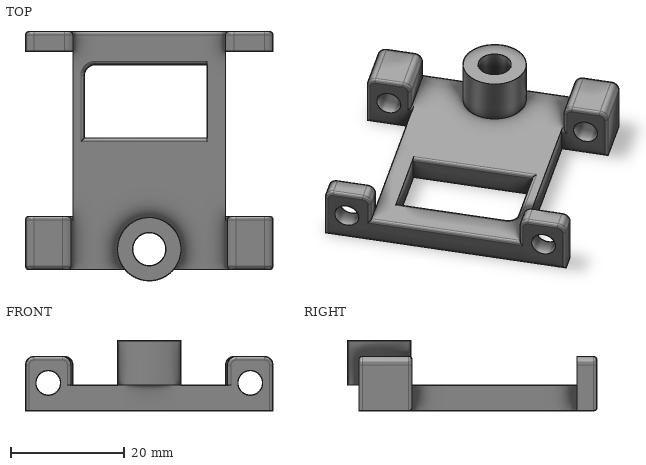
import cadquery as cq

overall_width = 43.6
overall_length = 43.95
overall_height = 12.4

plate_width = 26.9
plate_thickness = 4.53
plate_front = 2.0

ear_height = 9.6
ear_corner_radius = 1.5
edge_radius = 0.6
front_ear_width = 8.0
front_ear_depth = 9.4
rear_ear_width = (overall_width - plate_width) / 2
rear_ear_depth = 3.5
ear_hole_diameter = 4.3
ear_hole_inset = 4.0
ear_hole_height = 4.92

boss_diameter = 11.15
boss_hole_diameter = 5.8

window_left = -12.05
window_right = 10.2
window_rear = overall_length - 5.28
window_front = overall_length - 19.4
window_corner_radius = 1.85

tolerance = 0.005


def box(x_min, x_max, y_min, y_max, z_min, z_max):
    """Block between the given limits."""
    size = (x_max - x_min, y_max - y_min, z_max - z_min)
    return cq.Workplane("XY").box(*size, centered=False).translate((x_min, y_min, z_min))


def eared_bar(ear_width, y_min, depth):
    """Full-width bar with a rounded, raised ear at each end."""
    half_width = overall_width / 2
    bar = box(-half_width, half_width, y_min, y_min + depth, 0, plate_thickness)
    for x_min in (-half_width, half_width - ear_width):
        ear = box(x_min, x_min + ear_width, y_min, y_min + depth, 0, ear_height)
        bar = bar.union(ear.edges("|Y and >Z").fillet(ear_corner_radius))
    return bar.clean()


def is_rounded_front_edge(edge):
    """True except for the underside edge and the bar's top edge between the ears."""
    centre = edge.Center()
    is_on_underside = centre.z < tolerance
    is_between_ears = abs(centre.x) < tolerance and abs(centre.z - plate_thickness) < tolerance
    return not (is_on_underside or is_between_ears)


front_bar = eared_bar(front_ear_width, plate_front, front_ear_depth)
front_edges = front_bar.faces("<Y").edges().filter(is_rounded_front_edge)
front_bar = front_edges.fillet(edge_radius)
front_bar = front_bar.faces(">Y").edges().fillet(edge_radius)

rear_bar = eared_bar(rear_ear_width, overall_length - rear_ear_depth, rear_ear_depth)
rear_bar = rear_bar.faces(">Y").edges().fillet(edge_radius)

plate = box(
    -plate_width / 2,
    plate_width / 2,
    plate_front,
    overall_length - rear_ear_depth,
    0,
    plate_thickness,
)
result = plate.union(front_bar).union(rear_bar)


def window():
    """Through opening with one round corner and a rounded rim on three sides."""
    left = window_left + edge_radius
    rear = window_rear - edge_radius
    front = window_front + edge_radius
    opening = box(left, window_right, front, rear, 0, plate_thickness)
    return opening.edges("|Z and <X and >Y").fillet(window_corner_radius)


result = result.cut(window())
rim = cq.selectors.BoxSelector(
    (window_left, window_front, -tolerance),
    (window_right - tolerance, window_rear, plate_thickness + tolerance),
)
result = result.edges(rim).edges("#Z").fillet(edge_radius)

boss_y = boss_diameter / 2
boss = (
    cq.Workplane("XY", origin=(0, boss_y, plate_thickness))
    .circle(boss_diameter / 2)
    .extrude(overall_height - plate_thickness)
)
boss_hole = (
    cq.Workplane("XY", origin=(0, boss_y, 0)).circle(boss_hole_diameter / 2).extrude(overall_height)
)
result = result.union(boss).cut(boss_hole)

hole_x = overall_width / 2 - ear_hole_inset
pin_holes = (
    cq.Workplane("XZ")
    .pushPoints([(-hole_x, ear_hole_height), (hole_x, ear_hole_height)])
    .circle(ear_hole_diameter / 2)
    .extrude(-overall_length)
)
result = result.cut(pin_holes)